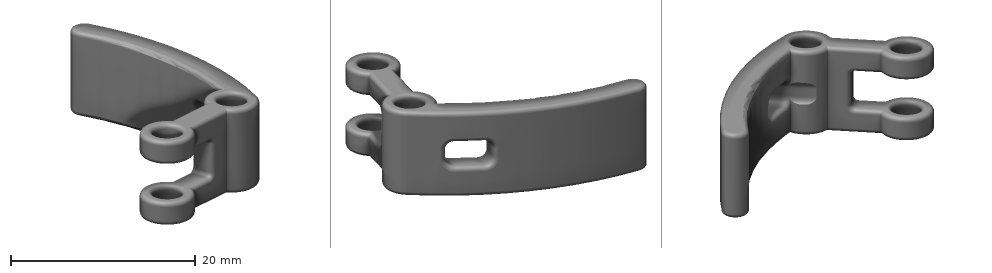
import cadquery as cq
import math

height = 10.0
edge_radius = 0.5

boss_radius = 3.0
bore_diameter = 3.25
pivot_spacing = 11.0

arm_thickness = 3.0
arm_inner_radius = 34.0
arm_crest_y = 6.87
tip_end_x = -25.77

link_width = 3.0
fork_gap = 4.5
fork_back_y = -5.05
fork_corner_radius = 0.5

window_right_x = -2.6
window_length = 5.0
window_height = 3.0
window_corner_radius = 1.0

radius_tolerance = 1e-4

half_height = height / 2
ear_height = (height - fork_gap) / 2
tip_radius = arm_thickness / 2
arm_outer_radius = arm_inner_radius + arm_thickness
arm_middle_radius = arm_inner_radius + tip_radius
arm_center_y = arm_crest_y - arm_outer_radius
arm_center_x = -math.sqrt(arm_inner_radius**2 - arm_center_y**2)
root_angle = math.atan2(-arm_center_y, -arm_center_x)
tip_angle = math.acos((tip_end_x + tip_radius - arm_center_x) / arm_middle_radius)


def arm_point(radius, angle):
    """Point at a polar position about the centre of the arm's arcs."""
    return (arm_center_x + radius * math.cos(angle), arm_center_y + radius * math.sin(angle))


def window_cutter():
    """Rounded rectangular prism running along Y, clear through the arm and the side of the pivot boss."""
    center_x = window_right_x - window_length / 2
    return (
        cq.Workplane("XZ")
        .center(center_x, 0)
        .rect(window_length, window_height)
        .extrude(pivot_spacing, both=True)
        .edges("|Y")
        .fillet(window_corner_radius)
    )


def curved_arm():
    """Constant-thickness arc with a round tip, rounded edges and a window with both rims rounded."""
    middle_angle = (root_angle + tip_angle) / 2
    tip_center = arm_point(arm_middle_radius, tip_angle)
    tip_end = (
        tip_center[0] - tip_radius * math.sin(tip_angle),
        tip_center[1] + tip_radius * math.cos(tip_angle),
    )
    arm = (
        cq.Workplane("XY")
        .workplane(offset=-half_height)
        .moveTo(*arm_point(arm_inner_radius, root_angle))
        .lineTo(*arm_point(arm_outer_radius, root_angle))
        .threePointArc(arm_point(arm_outer_radius, middle_angle), arm_point(arm_outer_radius, tip_angle))
        .threePointArc(tip_end, arm_point(arm_inner_radius, tip_angle))
        .threePointArc(arm_point(arm_inner_radius, middle_angle), arm_point(arm_inner_radius, root_angle))
        .close()
        .extrude(height)
    )
    arm = arm.faces("<Z or >Z").edges("%CIRCLE").fillet(edge_radius)
    arm = arm.cut(window_cutter())
    rims = []
    for face_radius in (arm_inner_radius, arm_outer_radius):
        face_middle = (*arm_point(face_radius, middle_angle), 0)
        face = arm.faces(cq.selectors.NearestToPointSelector(face_middle)).val()
        rims += face.innerWires()[0].Edges()
    return arm.newObject(rims).fillet(edge_radius)


def round_boss(center_y, bottom_z, boss_height):
    """Cylinder on X = 0 with both end edges rounded."""
    return (
        cq.Workplane("XY")
        .workplane(offset=bottom_z)
        .center(0, center_y)
        .circle(boss_radius)
        .extrude(boss_height)
        .edges("%CIRCLE")
        .fillet(edge_radius)
    )


def forked_link():
    """Bar from the pivot boss to the ears, split by a fork gap, with all long edges rounded."""
    gap_length = pivot_spacing + fork_back_y
    bar = cq.Workplane("XY").box(link_width, pivot_spacing, height).translate((0, -pivot_spacing / 2, 0))
    bar = bar.edges("|Y").fillet(edge_radius)
    gap = (
        cq.Workplane("XY")
        .box(2 * link_width, 2 * gap_length, fork_gap)
        .translate((0, fork_back_y - gap_length, 0))
        .edges("|X and >Y")
        .fillet(fork_corner_radius)
    )
    bar = bar.cut(gap)
    inside_gap = cq.selectors.BoxSelector(
        (-link_width, -pivot_spacing + edge_radius, -fork_gap / 2 - edge_radius),
        (link_width, fork_back_y + edge_radius, fork_gap / 2 + edge_radius),
    )
    gap_rims = bar.edges(inside_gap).edges("<X or >X")
    return gap_rims.fillet(edge_radius)


def bore_pivots(body):
    """Drill both pivot bores and round every bore mouth."""
    bores = (
        cq.Workplane("XY")
        .workplane(offset=-half_height)
        .pushPoints([(0, 0), (0, -pivot_spacing)])
        .circle(bore_diameter / 2)
        .extrude(height)
    )
    body = body.cut(bores)
    mouths = [
        edge
        for edge in body.edges("%CIRCLE").vals()
        if math.isclose(edge.radius(), bore_diameter / 2, abs_tol=radius_tolerance)
    ]
    return body.newObject(mouths).fillet(edge_radius)


body = curved_arm().union(round_boss(0, -half_height, height)).cut(window_cutter())
body = body.union(forked_link())
for ear_bottom_z in (-half_height, fork_gap / 2):
    body = body.union(round_boss(-pivot_spacing, ear_bottom_z, ear_height))
result = bore_pivots(body)